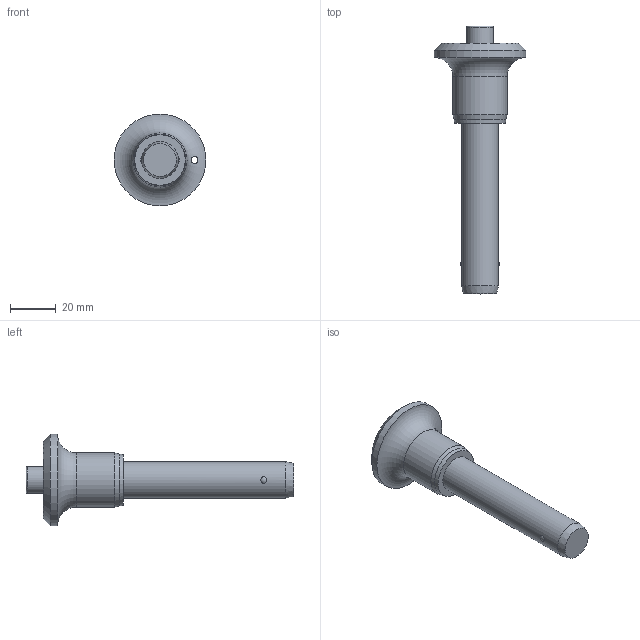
import cadquery as cq
import math


overall_length = 116.6

button_radius = 5.85
button_length = 7.5
button_edge_fillet = 0.5

flange_radius = 20.0
flange_chamfer = 3.1
flange_rim_width = 3.1
grip_radius = 11.75
flare_radius = flange_radius - grip_radius
handle_length = 34.8
nose_length = 3.6
nose_taper_length = 1.8
nose_mid_radius = 11.3
nose_end_radius = 11.0

lanyard_hole_diameter = 3.0
lanyard_hole_offset = 15.0

shank_radius = 8.0
shank_length = overall_length - button_length - handle_length
tip_length = 3.6
tip_end_radius = 7.15
tip_bulge = 0.12

ball_radius = 2.2
ball_protrusion = 0.4
ball_to_tip = 13.15


def make_shank():
    """Straight shank whose end tapers, slightly bulged, down to a flat face."""
    tip_start = -shank_length + tip_length
    tip_mid_radius = (shank_radius + tip_end_radius) / 2 + tip_bulge
    profile = (
        cq.Workplane("XY")
        .moveTo(0, 0)
        .lineTo(shank_radius, 0)
        .lineTo(shank_radius, tip_start)
        .threePointArc(
            (tip_mid_radius, tip_start - tip_length / 2),
            (tip_end_radius, -shank_length),
        )
        .lineTo(0, -shank_length)
        .close()
    )
    return profile.revolve(360, (0, 0), (0, 1))


def make_handle():
    """Flanged grip with a concave flare under the rim and a nose of two successive tapers."""
    rim_top = handle_length - flange_chamfer
    rim_bottom = rim_top - flange_rim_width
    flare_end = rim_bottom - flare_radius
    flare_mid_offset = flare_radius * math.sqrt(0.5)
    profile = (
        cq.Workplane("XY")
        .moveTo(0, handle_length)
        .lineTo(flange_radius - flange_chamfer, handle_length)
        .lineTo(flange_radius, rim_top)
        .lineTo(flange_radius, rim_bottom)
        .threePointArc(
            (flange_radius - flare_mid_offset, flare_end + flare_mid_offset),
            (grip_radius, flare_end),
        )
        .lineTo(grip_radius, nose_length)
        .lineTo(nose_mid_radius, nose_length - nose_taper_length)
        .lineTo(nose_end_radius, 0)
        .lineTo(0, 0)
        .close()
    )
    return profile.revolve(360, (0, 0), (0, 1))


def make_button():
    """Round push button standing on the flange, with a rounded outer edge."""
    button = (
        cq.Workplane("XZ", origin=(0, handle_length, 0))
        .circle(button_radius)
        .extrude(-button_length)
    )
    return button.faces(">Y").fillet(button_edge_fillet)


def make_ball(side):
    """Locking ball embedded in the shank on the +X (1) or -X (-1) side."""
    center_x = side * (shank_radius + ball_protrusion - ball_radius)
    center_y = -shank_length + ball_to_tip
    return cq.Workplane("XY").sphere(ball_radius).translate((center_x, center_y, 0))


def make_lanyard_hole():
    """Cutter parallel to the pin axis, as long as the handle."""
    return (
        cq.Workplane("XZ", origin=(lanyard_hole_offset, 0, 0))
        .circle(lanyard_hole_diameter / 2)
        .extrude(-handle_length)
    )


result = make_shank().union(make_handle()).union(make_button())
for side in (-1, 1):
    result = result.union(make_ball(side))
result = result.cut(make_lanyard_hole())